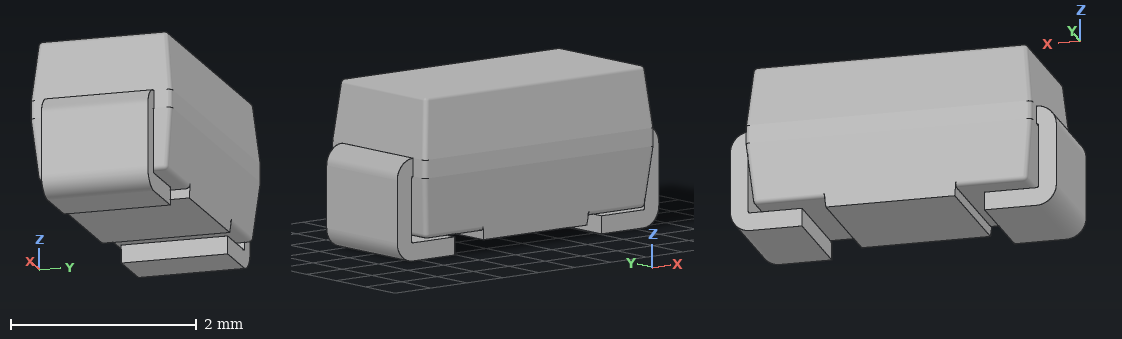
import cadquery as cq
import math

LEAD_SPAN = 3.64
TOTAL_HEIGHT = 1.8

BODY_LENGTH = 3.2
BODY_WIDTH = 1.6
BELT_TOP = 1.125
BELT_HEIGHT = 0.2
BODY_BOTTOM = 0.25
DRAFT_ANGLE = 6.0
EDGE_RADIUS = 0.05

PAD_LENGTH = 1.6
PAD_BOTTOM = 0.15

LEAD_THICKNESS = 0.2
LEAD_WIDTH = 1.2
FOOT_LENGTH = 0.8

belt_bottom = BELT_TOP - BELT_HEIGHT
body_end = BODY_LENGTH / 2
lead_outside = LEAD_SPAN / 2
bend_outer_radius = lead_outside - body_end
bend_inner_radius = bend_outer_radius - LEAD_THICKNESS


def drafted_block(length, base_z, end_z):
    """Block as wide as the housing at base_z, narrowing by the draft angle towards end_z."""
    return (
        cq.Workplane("XY", origin=(0, 0, base_z))
        .rect(length, BODY_WIDTH)
        .extrude(end_z - base_z, taper=DRAFT_ANGLE)
    )


def make_housing():
    """Housing with rounded corners and rims, and the sharp-edged pad under it."""
    belt = (
        cq.Workplane("XY", origin=(0, 0, belt_bottom))
        .rect(BODY_LENGTH, BODY_WIDTH)
        .extrude(BELT_HEIGHT)
        .edges("|Z")
        .fillet(EDGE_RADIUS)
    )
    upper = drafted_block(BODY_LENGTH, BELT_TOP, TOTAL_HEIGHT).edges("not <Z").fillet(EDGE_RADIUS)
    lower = drafted_block(BODY_LENGTH, belt_bottom, BODY_BOTTOM).edges("not >Z").fillet(EDGE_RADIUS)
    pad = drafted_block(PAD_LENGTH, belt_bottom, PAD_BOTTOM)
    return belt.union(upper).union(lower).union(pad).solids()


def make_lead(side):
    """C-shaped strip from the belt end down to a foot under the housing; side is +1 or -1 along X."""
    lead_inside = lead_outside - LEAD_THICKNESS
    foot_tip = lead_outside - FOOT_LENGTH
    lower_bend_z = bend_outer_radius
    upper_bend_z = BELT_TOP - bend_outer_radius
    diagonal = math.sqrt(0.5)
    outer_mid = bend_outer_radius * diagonal
    inner_mid = bend_inner_radius * diagonal

    profile = (
        cq.Workplane("XZ")
        .moveTo(side * foot_tip, 0)
        .lineTo(side * body_end, 0)
        .threePointArc(
            (side * (body_end + outer_mid), lower_bend_z - outer_mid),
            (side * lead_outside, lower_bend_z),
        )
        .lineTo(side * lead_outside, upper_bend_z)
        .threePointArc(
            (side * (body_end + outer_mid), upper_bend_z + outer_mid),
            (side * body_end, BELT_TOP),
        )
        .lineTo(side * body_end, belt_bottom)
        .threePointArc(
            (side * (body_end + inner_mid), upper_bend_z + inner_mid),
            (side * lead_inside, upper_bend_z),
        )
        .lineTo(side * lead_inside, lower_bend_z)
        .threePointArc(
            (side * (body_end + inner_mid), lower_bend_z - inner_mid),
            (side * body_end, LEAD_THICKNESS),
        )
        .lineTo(side * foot_tip, LEAD_THICKNESS)
        .close()
    )
    return profile.extrude(LEAD_WIDTH / 2, both=True)


housing = make_housing()
leads = [make_lead(side) for side in (-1, 1)]

result = cq.Compound.makeCompound([housing.val(), *[lead.val() for lead in leads]])